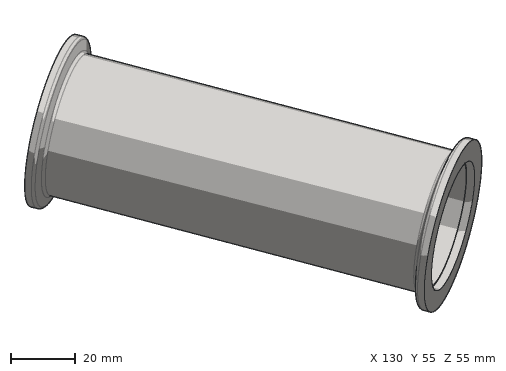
import cadquery as cq
import math

length = 130.0
flange_radius = 55.0 / 2
tube_radius = 45.2 / 2
bore_radius = 40.3 / 2

rim_width = 3.0
back_angle = 15.0
edge_fillet = 1.0

recess_radius = 41.2 / 2
recess_depth = 2.6

half_length = length / 2
back_length = (flange_radius - tube_radius) * math.tan(math.radians(back_angle))


def x_cylinder(radius, start, depth):
    """Solid cylinder along +X, starting at x = start."""
    return cq.Workplane("YZ", origin=(start, 0, 0)).circle(radius).extrude(depth)


def flanged_body():
    """Solid tube with a taper-backed flange at each end."""
    rim_end = half_length - rim_width
    root = rim_end - back_length
    outline = [
        (-half_length, 0),
        (-half_length, flange_radius),
        (-rim_end, flange_radius),
        (-root, tube_radius),
        (root, tube_radius),
        (rim_end, flange_radius),
        (half_length, flange_radius),
        (half_length, 0),
    ]
    body = cq.Workplane("XY").polyline(outline).close().revolve(360, (0, 0, 0), (1, 0, 0))
    inner_edges = body.edges("%CIRCLE").edges("not(<X or >X)")
    return inner_edges.fillet(edge_fillet)


bore = x_cylinder(bore_radius, -half_length, length)
recess_starts = (-half_length, half_length - recess_depth)

result = flanged_body().cut(bore)
for recess_start in recess_starts:
    result = result.cut(x_cylinder(recess_radius, recess_start, recess_depth))